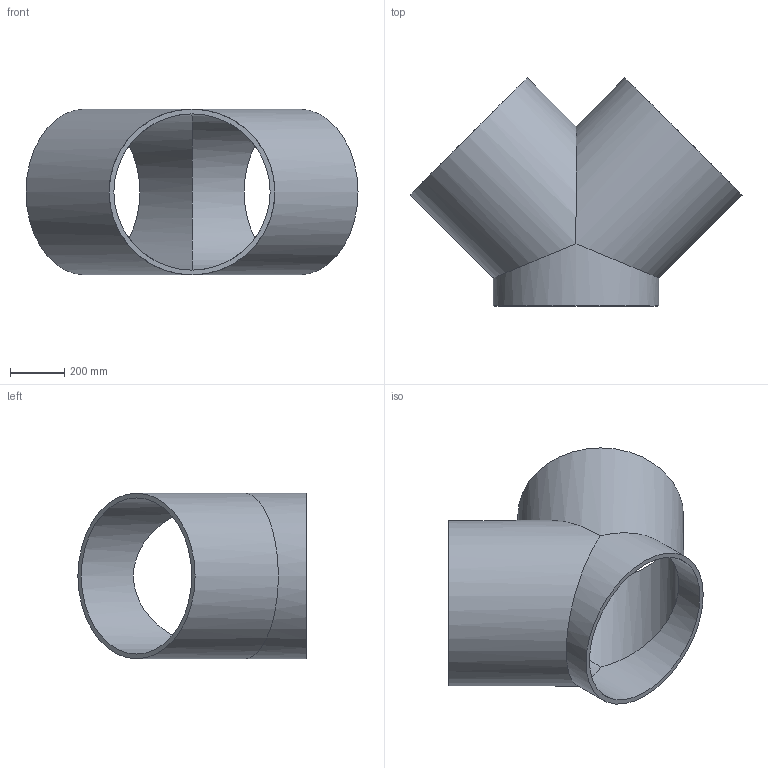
import cadquery as cq

OUTER_DIAMETER = 609.6
INNER_DIAMETER = 574.7
STEM_LENGTH = 228.6
BRANCH_LENGTH = 558.8
BRANCH_ANGLE = 45.0

LEGS = [
    (-90.0, STEM_LENGTH),
    (90.0 - BRANCH_ANGLE, BRANCH_LENGTH),
    (90.0 + BRANCH_ANGLE, BRANCH_LENGTH),
]


def leg_cylinder(diameter, angle, length):
    """Solid cylinder running horizontally out from the junction."""
    along_x = cq.Workplane("YZ").circle(diameter / 2).extrude(length)
    return along_x.rotate((0, 0, 0), (0, 0, 1), angle)


def joined_legs(diameter):
    """All three cylinders fused; equal diameters meet along mitre curves."""
    body = cq.Workplane("XY")
    for angle, length in LEGS:
        body = body.union(leg_cylinder(diameter, angle, length))
    return body


result = joined_legs(OUTER_DIAMETER).cut(joined_legs(INNER_DIAMETER))